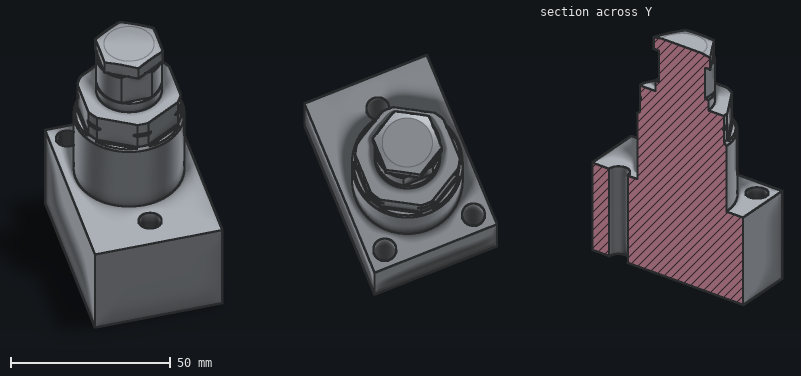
import cadquery as cq
import math

BLOCK_LENGTH = 58.8
BLOCK_WIDTH = 41.5
BLOCK_HEIGHT = 31.7
TOTAL_HEIGHT = 85.8

HOLE_DIAMETER = 7.2
PAIR_HOLE_X = 5.7
PAIR_HOLE_SPACING = 30.0
SINGLE_HOLE_X = 48.55

AXIS_X = 23.85
BODY_RADIUS = 17.4
NUT_RADIUS = 16.4
NUT_BASE_Z = 56.45
NUT_TOP_Z = 66.0
NUT_ACROSS_FLATS = 30.0
FLAT_RUNOUT = 0.4
GROOVE_Z = 61.25
GROOVE_RADIUS = 0.4

COLLAR_RADIUS = 10.4
COLLAR_TOP_Z = 69.65
NECK_CHAMFER = 0.3
NECK_ACROSS_FLATS = 18.2
NECK_TOP_Z = 80.8

HEAD_ACROSS_FLATS = 19.05
HEAD_FACE_RADIUS = 7.9
HEAD_EDGE_DROP = 0.6


def hexagon_diameter(across_flats):
    """Diameter through the corners of a hexagon."""
    return across_flats / math.cos(math.pi / 6)


def hexagon(across_flats, z):
    """Hexagon on the main axis with corners on +X and -X."""
    return cq.Workplane("XY", origin=(AXIS_X, 0, z)).polygon(6, hexagon_diameter(across_flats))


def disc(radius, z_low, z_high):
    """Cylinder on the main axis between two heights."""
    return cq.Workplane("XY", origin=(AXIS_X, 0, z_low)).circle(radius).extrude(z_high - z_low)


def turned(profile):
    """Solid of revolution about the main axis from (radius, z) points."""
    plane = cq.Workplane("XZ", origin=(AXIS_X, 0, 0))
    return plane.polyline(profile).close().revolve(360, (0, 0, 0), (0, 1, 0))


def make_block():
    block = cq.Workplane("XY").box(
        BLOCK_LENGTH, BLOCK_WIDTH, BLOCK_HEIGHT, centered=(False, True, False)
    )
    hole_places = [
        (PAIR_HOLE_X, PAIR_HOLE_SPACING / 2),
        (PAIR_HOLE_X, -PAIR_HOLE_SPACING / 2),
        (SINGLE_HOLE_X, 0),
    ]
    holes = (
        cq.Workplane("XY").pushPoints(hole_places).circle(HOLE_DIAMETER / 2).extrude(BLOCK_HEIGHT)
    )
    return block.cut(holes)


def make_body():
    """Round body, 45 degree shoulder and nut, with a round groove across the nut corners."""
    shoulder_z = NUT_BASE_Z - (BODY_RADIUS - NUT_RADIUS)
    blank = turned([
        (0, BLOCK_HEIGHT),
        (BODY_RADIUS, BLOCK_HEIGHT),
        (BODY_RADIUS, shoulder_z),
        (NUT_RADIUS, NUT_BASE_Z),
        (NUT_RADIUS, NUT_TOP_Z),
        (0, NUT_TOP_Z),
    ])

    floor_z = NUT_BASE_Z - FLAT_RUNOUT
    runout = (
        hexagon(NUT_ACROSS_FLATS + 2 * FLAT_RUNOUT, floor_z)
        .workplane(offset=FLAT_RUNOUT)
        .polygon(6, hexagon_diameter(NUT_ACROSS_FLATS))
        .loft(ruled=True)
    )
    flats = hexagon(NUT_ACROSS_FLATS, NUT_BASE_Z).extrude(NUT_TOP_Z - NUT_BASE_Z)
    envelope = disc(BODY_RADIUS, BLOCK_HEIGHT, floor_z).union(runout).union(flats)

    groove = (
        cq.Workplane("XZ", origin=(AXIS_X, 0, 0))
        .center(NUT_RADIUS, GROOVE_Z)
        .circle(GROOVE_RADIUS)
        .revolve(360, (-NUT_RADIUS, 0, 0), (-NUT_RADIUS, 1, 0))
    )
    return blank.intersect(envelope).cut(groove)


def make_neck():
    """Collar and neck; the neck is chamfered at both ends and has two flats across X."""
    collar = disc(COLLAR_RADIUS, NUT_TOP_Z, COLLAR_TOP_Z)
    neck = disc(COLLAR_RADIUS, COLLAR_TOP_Z, NECK_TOP_Z).faces("<Z or >Z").chamfer(NECK_CHAMFER)
    neck_height = NECK_TOP_Z - COLLAR_TOP_Z
    flats = (
        cq.Workplane("XY", origin=(AXIS_X, 0, COLLAR_TOP_Z))
        .rect(NECK_ACROSS_FLATS, 2 * COLLAR_RADIUS)
        .extrude(neck_height)
    )
    return collar.union(neck.intersect(flats))


def make_head():
    """Hexagonal head with a shallow cone over its corners."""
    corner_radius = hexagon_diameter(HEAD_ACROSS_FLATS) / 2
    prism = hexagon(HEAD_ACROSS_FLATS, NECK_TOP_Z).extrude(TOTAL_HEIGHT - NECK_TOP_Z)
    cone = turned([
        (0, NECK_TOP_Z),
        (corner_radius, NECK_TOP_Z),
        (corner_radius, TOTAL_HEIGHT - HEAD_EDGE_DROP),
        (HEAD_FACE_RADIUS, TOTAL_HEIGHT),
        (0, TOTAL_HEIGHT),
    ])
    return prism.intersect(cone)


result = make_block().union(make_body()).union(make_neck()).union(make_head())